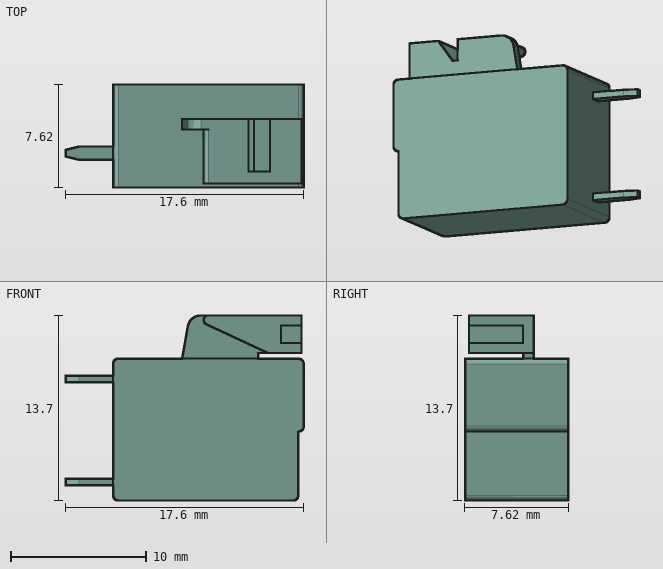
import cadquery as cq
import math

body_length = 14.1
body_width = 7.62
body_height = 10.5
corner_radius = 0.4
step_depth = corner_radius
step_height = 5.1

pin_pitch = 7.62
pin_length = 3.5
pin_width = 1.0
pin_thickness = 0.5
pin_tip_width = 0.5
pin_tip_length = 1.0
pin_y = body_width / 3
lower_pin_z = 1.38
pin_embed = 1.0

lever_height = 3.2
lever_top = body_height + lever_height
lever_front = 0.28
lever_width = 4.8
lever_back = lever_front + lever_width
lever_end = 13.93
plate_thickness = 0.8
plate_front = lever_back - plate_thickness
plate_start = 5.1
plate_foot_end = 10.75
plate_lean = math.radians(10)
plate_radius = 1.0
head_gap = 0.4
head_bottom = body_height + head_gap
nose_start = 6.7
nose_radius = 0.35
nose_slope = math.radians(25)

slot_depth = 1.5
slot_height = 1.3
slot_roof = 0.75
slot_top = lever_top - slot_roof

recess_start = 10.03
recess_floor_end = 10.43
recess_end = 11.6
recess_depth = 1.6
recess_length = 3.9


def extrude_y(profile, y_start, y_end):
    """Extrude a closed XZ profile from y_start to y_end."""
    return profile.extrude(y_start - y_end).translate((0, y_start, 0))


def make_body():
    profile = (
        cq.Workplane("XZ")
        .moveTo(0, 0)
        .lineTo(body_length - step_depth, 0)
        .lineTo(body_length - step_depth, step_height)
        .radiusArc((body_length, step_height + corner_radius), -corner_radius)
        .lineTo(body_length, body_height)
        .lineTo(0, body_height)
        .close()
    )
    body = extrude_y(profile, 0, body_width)
    bottom_and_top_corners = body.edges("|Y and (<Z or >Z)")
    return bottom_and_top_corners.fillet(corner_radius)


def make_pin(z_center):
    half_width = pin_width / 2
    half_tip = pin_tip_width / 2
    taper_start = pin_tip_length - pin_length
    return (
        cq.Workplane("XY")
        .moveTo(pin_embed, -half_width)
        .lineTo(taper_start, -half_width)
        .lineTo(-pin_length, -half_tip)
        .lineTo(-pin_length, half_tip)
        .lineTo(taper_start, half_width)
        .lineTo(pin_embed, half_width)
        .close()
        .extrude(pin_thickness)
        .translate((0, pin_y, z_center - pin_thickness / 2))
    )


def make_lever_plate():
    corner_x = plate_start + lever_height * math.tan(plate_lean)
    tangent_length = plate_radius * math.tan((math.pi / 2 - plate_lean) / 2)
    arc_start = (
        corner_x - tangent_length * math.sin(plate_lean),
        lever_top - tangent_length * math.cos(plate_lean),
    )
    arc_end = (corner_x + tangent_length, lever_top)
    profile = (
        cq.Workplane("XZ")
        .moveTo(plate_start, body_height)
        .lineTo(*arc_start)
        .radiusArc(arc_end, plate_radius)
        .lineTo(lever_end, lever_top)
        .lineTo(lever_end, head_bottom)
        .lineTo(plate_foot_end, head_bottom)
        .lineTo(plate_foot_end, body_height)
        .close()
    )
    return extrude_y(profile, plate_front, lever_back)


def make_lever_head():
    center_x = nose_start + nose_radius
    center_z = lever_top - nose_radius
    tangent_x = center_x - nose_radius * math.sin(nose_slope)
    tangent_z = center_z - nose_radius * math.cos(nose_slope)
    slope_end = tangent_x + (tangent_z - head_bottom) / math.tan(nose_slope)
    profile = (
        cq.Workplane("XZ")
        .moveTo(center_x, lever_top)
        .threePointArc((nose_start, center_z), (tangent_x, tangent_z))
        .lineTo(slope_end, head_bottom)
        .lineTo(lever_end, head_bottom)
        .lineTo(lever_end, lever_top)
        .close()
    )
    return extrude_y(profile, lever_front, plate_front)


def make_slot():
    profile = (
        cq.Workplane("XZ")
        .moveTo(lever_end - slot_depth, slot_top - slot_height)
        .lineTo(lever_end, slot_top - slot_height)
        .lineTo(lever_end, slot_top)
        .lineTo(lever_end - slot_depth, slot_top)
        .close()
    )
    return extrude_y(profile, lever_front, plate_front)


def make_recess():
    floor_z = lever_top - recess_depth
    profile = (
        cq.Workplane("XZ")
        .moveTo(recess_start, lever_top)
        .lineTo(recess_start, floor_z)
        .lineTo(recess_floor_end, floor_z)
        .lineTo(recess_end, lever_top)
        .close()
    )
    return extrude_y(profile, lever_back - recess_length, lever_back)


lever = make_lever_plate().union(make_lever_head()).cut(make_slot()).cut(make_recess())
result = make_body().union(lever)
for pin_z in (lower_pin_z, lower_pin_z + pin_pitch):
    result = result.union(make_pin(pin_z))